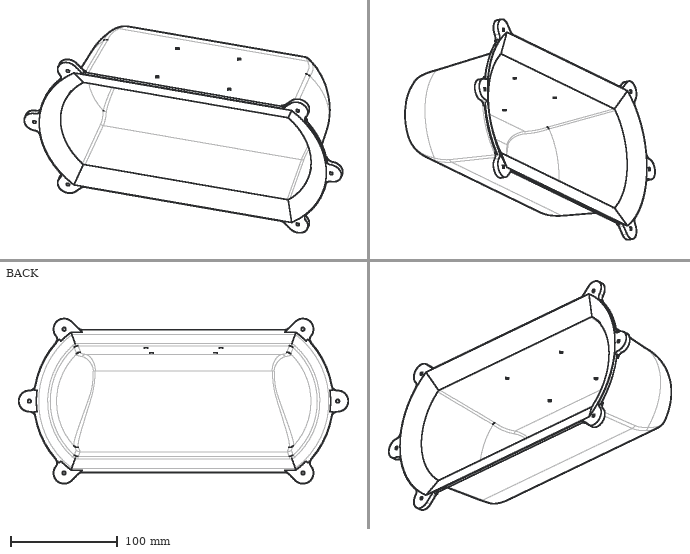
import cadquery as cq
import math

depth = 123.72
wall = 3.5
draft = math.radians(5)
top_height = 53.05
bottom_back_radius = 62.1
top_back_radius = 20.0
end_axis_x = 57.5
end_bulge = 15.7
end_back_radius = 47.0
end_lift = 11.0
end_lean_power = 1.3
end_ring_steps = 6
end_back_depth = depth + 1.8
outer_seam_radius = 5.5
inner_seam_radius = 3.75

rim_half_height = 66.9
rim_thickness = 3.0
bevel_half_height = 62.6
bevel_depth = 6.5
flare_angle = math.radians(30.5)
mouth_half_height = 66.4
neck_half_height = 48.5
neck_fillet = 5.0
neck_limit_y = 20.0

ear_radius = 10.0
ear_thickness = 5.0
ear_hole_diameter = 3.0
ear_fillet = 5.0
side_ear_x = 144.22
corner_ear_x = 111.7
corner_ear_z = 67.315
corner_ear_angle = 45.0

top_hole_diameter = 3.0
front_hole_x = 35.0
front_hole_y = 36.0
rear_hole_x = 30.0
rear_hole_y = 88.2

overlap = 5.0
tolerance = 0.1

side_signs = (1, -1)


def outline(half_height, y):
    """Section with flat top and bottom and arc ends, in the plane at the given y."""
    end_radius = half_height + end_bulge
    corner_x = end_axis_x + math.sqrt(end_radius**2 - half_height**2)
    reach = end_axis_x + end_radius
    return (
        cq.Workplane("XZ", origin=(0, y, 0))
        .moveTo(-corner_x, half_height)
        .lineTo(corner_x, half_height)
        .threePointArc((reach, 0), (corner_x, -half_height))
        .lineTo(-corner_x, -half_height)
        .threePointArc((-reach, 0), (-corner_x, half_height))
        .close()
    )


def ruled_band(half_height_1, y_1, half_height_2, y_2):
    """Solid that tapers straight from one outline to another."""
    wires = [outline(half_height_1, y_1).wire().val(), outline(half_height_2, y_2).wire().val()]
    return cq.Workplane(cq.Solid.makeLoft(wires, True))


def side_profile(inset, half_length):
    """Prism along X with the drafted top and bottom walls and the rounded back."""
    sin_d, cos_d = math.sin(draft), math.cos(draft)
    low_y = depth - bottom_back_radius
    low_z = bottom_back_radius / cos_d - top_height + low_y * math.tan(draft)
    rise = (top_height - low_y * math.tan(draft) - low_z) * cos_d - top_back_radius
    run = math.sqrt((bottom_back_radius - top_back_radius) ** 2 - rise**2)
    high_y = low_y + rise * sin_d + run * cos_d
    high_z = low_z + rise * cos_d - run * sin_d
    join_angle = math.atan2(high_z - low_z, high_y - low_y)

    low_radius = bottom_back_radius - inset
    high_radius = top_back_radius - inset
    wall_angle = math.pi / 2 - draft
    front_z = top_height - inset / cos_d

    def on_low(angle):
        return (low_y + low_radius * math.cos(angle), low_z + low_radius * math.sin(angle))

    def on_high(angle):
        return (high_y + high_radius * math.cos(angle), high_z + high_radius * math.sin(angle))

    return (
        cq.Workplane("YZ", origin=(-half_length, 0, 0))
        .moveTo(0, -front_z)
        .lineTo(*on_low(-wall_angle))
        .threePointArc(on_low((join_angle - wall_angle) / 2), on_low(join_angle))
        .threePointArc(on_high((join_angle + wall_angle) / 2), on_high(wall_angle))
        .lineTo(0, front_z)
        .close()
        .extrude(2 * half_length)
    )


def end_cap(inset):
    """Right end: a drafted cone carrying a rounded back that leans upwards."""
    arc_radius = end_back_radius - inset
    front_radius = top_height + end_bulge - inset / math.cos(draft)
    centre_y = end_back_depth - end_back_radius
    centre_r = (
        top_height + end_bulge - centre_y * math.tan(draft) - end_back_radius / math.cos(draft)
    )

    def ring(y, radius, lift):
        centre = cq.Vector(end_axis_x, y, lift)
        return cq.Wire.makeCircle(radius, centre, cq.Vector(0, 1, 0))

    rings = []
    for step in range(end_ring_steps + 1):
        angle = draft + (math.pi / 2 - draft) * step / end_ring_steps
        y = centre_y + arc_radius * math.sin(angle)
        radius = centre_r + arc_radius * math.cos(angle)
        lean = (math.sin(angle) - math.sin(draft)) / (1 - math.sin(draft))
        rings.append(ring(y, radius, end_lift * lean**end_lean_power))
    cone = cq.Solid.makeLoft([ring(0, front_radius, 0), rings[0]], True)
    back = cq.Solid.makeLoft(rings)
    return cq.Workplane(cone).union(cq.Workplane(back))


def dome(inset, seam_radius):
    """Solid dome of the shell, moved inwards by inset, with rounded seams."""
    full_reach = end_axis_x + top_height + end_bulge + overlap
    end = end_cap(inset).intersect(side_profile(inset, full_reach))
    middle = side_profile(inset, end_axis_x)
    body = middle.union(end).union(end.mirror("YZ"))
    seams = [edge for edge in body.edges().vals() if is_seam(edge)]
    return body.newObject(seams).fillet(seam_radius)


def is_seam(edge):
    """True for an edge where an end meets the top, bottom or back, running along Y."""
    box = edge.BoundingBox()
    one_sided = box.xmin * box.xmax > 0
    return one_sided and box.ylen > tolerance


def ear(x, z, angle):
    """Ear blank: round tip with parallel sides running inwards, angle measured from +X."""
    stem_length = 2 * ear_radius
    stem = (
        cq.Workplane("XZ")
        .rect(stem_length, 2 * ear_radius)
        .extrude(-ear_thickness)
        .translate((-stem_length / 2, 0, 0))
    )
    tip = cq.Workplane("XZ").circle(ear_radius).extrude(-ear_thickness)
    return tip.union(stem).rotate((0, 0, 0), (0, 1, 0), -angle).translate((x, 0, z))


def ear_places():
    """Position and direction of the six ears."""
    places = []
    for side in side_signs:
        outward = 0 if side > 0 else 180
        places.append((side * side_ear_x, 0, outward))
        for up in side_signs:
            angle = outward + side * up * corner_ear_angle
            places.append((side * corner_ear_x, up * corner_ear_z, angle))
    return places


def ears():
    """The six ears, with rounded webs where their stems leave the rim."""
    core = outline(rim_half_height, 0).extrude(-ear_thickness)
    blanks = ear(*ear_places()[0])
    for place in ear_places()[1:]:
        blanks = blanks.union(ear(*place))
    plate = core.union(blanks)
    roots = [edge for edge in plate.edges("|Y").vals() if is_ear_root(edge)]
    webbed = plate.newObject(roots).fillet(ear_fillet)
    return blanks.union(webbed.cut(core))


def is_ear_root(edge):
    """True for an upright edge outside every ear tip, where a stem meets the rim."""
    centre = edge.Center()
    gaps = [math.hypot(centre.x - x, centre.z - z) - ear_radius for x, z, _ in ear_places()]
    return min(gaps) > tolerance


def flare(half_height, y):
    """Tapered solid from the outline at the given y to the neck and beyond."""
    end_half_height = neck_half_height - wall
    end_y = y + (half_height - end_half_height) * math.tan(flare_angle)
    return ruled_band(half_height, y, end_half_height, end_y)


def outside():
    """The part without its cavity and holes."""
    bevel = ruled_band(rim_half_height, rim_thickness, bevel_half_height, bevel_depth)
    body = dome(0, outer_seam_radius).union(flare(bevel_half_height, bevel_depth))
    neck = [edge for edge in body.edges().vals() if is_neck(edge)]
    body = body.newObject(neck).fillet(neck_fillet)
    rim = outline(rim_half_height, 0).extrude(-rim_thickness)
    return body.union(bevel).union(rim).union(ears())


def is_neck(edge):
    """True for the ring of edges where the dome rises from the flare."""
    box = edge.BoundingBox()
    return box.ymin > bevel_depth + tolerance and box.ymax < neck_limit_y


def drill_ears(part):
    """Drill a hole through each ear at the centre of its tip."""
    for x, z, _ in ear_places():
        hole = (
            cq.Workplane("XZ", origin=(x, -overlap, z))
            .circle(ear_hole_diameter / 2)
            .extrude(-ear_thickness - 2 * overlap)
        )
        part = part.cut(hole)
    return part


def drill_top(part):
    """Drill the four vertical holes through the top wall."""
    places = [
        (side * x, y)
        for side in side_signs
        for x, y in ((front_hole_x, front_hole_y), (rear_hole_x, rear_hole_y))
    ]
    drills = cq.Workplane("XY").pushPoints(places).circle(top_hole_diameter / 2).extrude(top_height)
    return part.cut(drills)


shell = outside().cut(dome(wall, inner_seam_radius)).cut(flare(mouth_half_height, 0))
result = drill_top(drill_ears(shell))